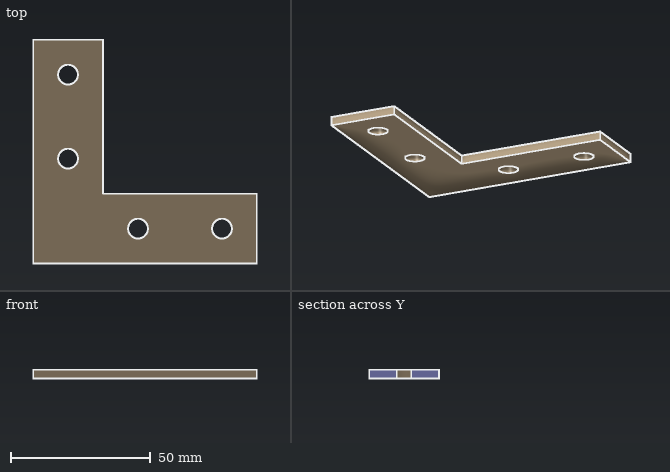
import cadquery as cq

leg_length = 80.0
leg_width = 25.0
thickness = 3.2
hole_diameter = 7.0
hole_pitch = 30.0

center_line = leg_width / 2
outer_hole = leg_length - leg_width / 2
inner_hole = outer_hole - hole_pitch


def make_plate():
    """Flat L-shaped plate with its outer corner at the origin."""
    outline = [
        (0, 0),
        (leg_length, 0),
        (leg_length, leg_width),
        (leg_width, leg_width),
        (leg_width, leg_length),
        (0, leg_length),
    ]
    return cq.Workplane("XY").polyline(outline).close().extrude(thickness)


def make_hole_cutters():
    """Cylinders for the through holes, two on each leg."""
    centers = []
    for distance in (inner_hole, outer_hole):
        centers.append((distance, center_line))
        centers.append((center_line, distance))
    return cq.Workplane("XY").pushPoints(centers).circle(hole_diameter / 2).extrude(thickness)


result = make_plate().cut(make_hole_cutters())